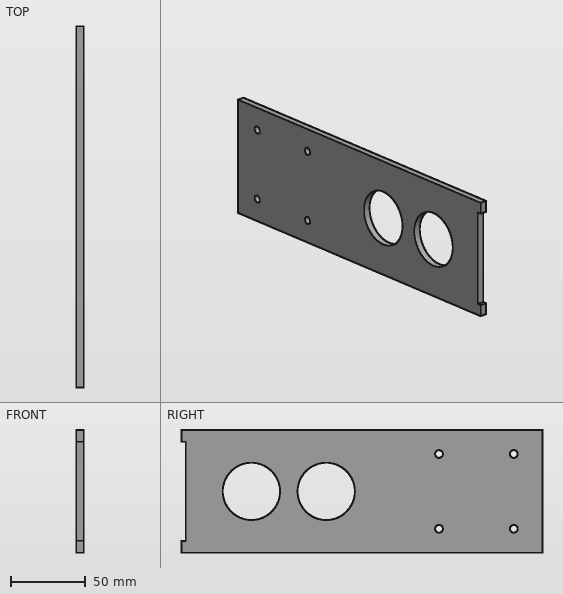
import cadquery as cq

thickness = 5.0
length = 241.0
height = 82.0

notch_depth = 3.0
notch_height = 66.0

hole_pitch = 50.0
small_diameter = 5.0
small_end_margin = 19.3
large_diameter = 38.0
large_end_margin = 46.8

small_center_y = length / 2 - small_end_margin - hole_pitch / 2
large_center_y = -length / 2 + large_end_margin + hole_pitch / 2


def through_holes(center_y, rows, diameter):
    """Cutters along X: two columns of holes in Y, with the given rows in Z."""
    return (
        cq.Workplane("YZ")
        .center(center_y, 0)
        .rarray(hole_pitch, hole_pitch, 2, rows)
        .circle(diameter / 2)
        .extrude(thickness, both=True)
    )


plate = cq.Workplane("XY").box(thickness, length, height)

notch = (
    cq.Workplane("XY")
    .box(thickness, 2 * notch_depth, notch_height)
    .translate((0, -length / 2, 0))
)

small_holes = through_holes(small_center_y, 2, small_diameter)
large_holes = through_holes(large_center_y, 1, large_diameter)

result = plate.cut(notch).cut(small_holes).cut(large_holes)